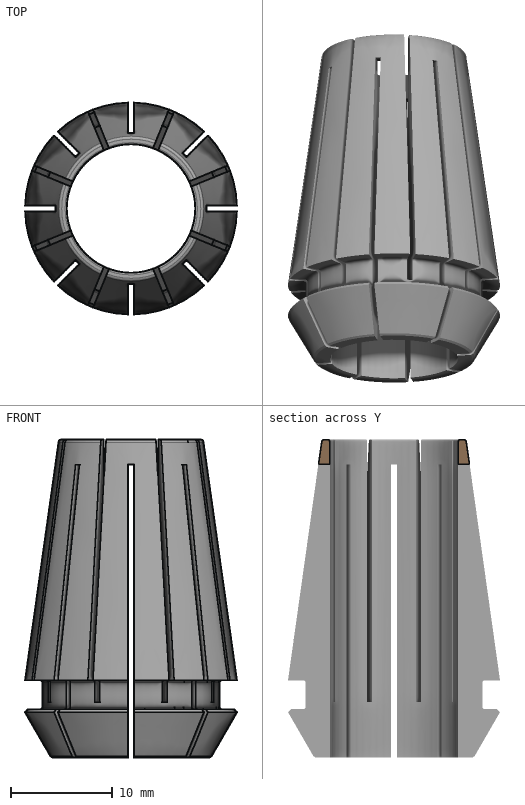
import cadquery as cq
import math

length = 31.5
max_radius = 10.5
bore_radius = 12.7 / 2

taper_angle = 8.0
taper_bottom_z = 7.65
top_radius = max_radius - (length - taper_bottom_z) * math.tan(math.radians(taper_angle))
top_edge_fillet = 0.3
bore_edge_fillet = 0.2

groove_radius = 8.77
groove_bottom_z = 4.8
groove_corner_radius = 0.2
nose_angle = 30.0
nose_rim_z = 4.5
nose_rim_slope_width = 0.3
nose_bottom_radius = max_radius - nose_rim_z * math.tan(math.radians(nose_angle))
nose_edge_chamfer = 0.15

slots_per_set = 8
slot_width = 0.55
nose_slot_top_z = 29.0
taper_slot_floor_z = 5.5
slot_pitch = 360 / slots_per_set
cut_margin = 1.0


def collet_body():
    """Revolve the half section about the Z axis and round the top edges."""
    nose_chamfer_radius = nose_bottom_radius + nose_edge_chamfer * math.tan(math.radians(nose_angle))
    rim_top_radius = max_radius - nose_rim_slope_width
    corner_offset = groove_corner_radius * (1 - math.sqrt(0.5))
    section = (
        cq.Workplane("XZ")
        .moveTo(bore_radius, 0)
        .lineTo(nose_bottom_radius - nose_edge_chamfer, 0)
        .lineTo(nose_chamfer_radius, nose_edge_chamfer)
        .lineTo(max_radius, nose_rim_z)
        .lineTo(rim_top_radius, groove_bottom_z)
        .lineTo(groove_radius + groove_corner_radius, groove_bottom_z)
        .threePointArc(
            (groove_radius + corner_offset, groove_bottom_z + corner_offset),
            (groove_radius, groove_bottom_z + groove_corner_radius),
        )
        .lineTo(groove_radius, taper_bottom_z - groove_corner_radius)
        .threePointArc(
            (groove_radius + corner_offset, taper_bottom_z - corner_offset),
            (groove_radius + groove_corner_radius, taper_bottom_z),
        )
        .lineTo(max_radius, taper_bottom_z)
        .lineTo(top_radius, length)
        .lineTo(bore_radius, length)
        .close()
    )
    body = section.revolve(360, (0, 0, 0), (0, 1, 0))
    outer_edge = body.faces(">Z").edges(cq.selectors.RadiusNthSelector(-1))
    body = outer_edge.fillet(top_edge_fillet)
    bore_edge = body.faces(">Z").edges(cq.selectors.RadiusNthSelector(0))
    return bore_edge.fillet(bore_edge_fillet)


def radial_slots(bottom_z, top_z, first_angle):
    """Ring of radial blades that cut through the wall between two heights."""
    blade_length = max_radius + cut_margin
    blade = (
        cq.Workplane("XY")
        .workplane(offset=bottom_z)
        .center(blade_length / 2, 0)
        .rect(blade_length, slot_width)
        .extrude(top_z - bottom_z)
    )
    blades = cq.Workplane("XY")
    for index in range(slots_per_set):
        angle = first_angle + index * slot_pitch
        blades = blades.add(blade.rotate((0, 0, 0), (0, 0, 1), angle))
    return blades.combine()


nose_slots = radial_slots(-cut_margin, nose_slot_top_z, 0)
taper_slots = radial_slots(taper_slot_floor_z, length + cut_margin, slot_pitch / 2)

result = collet_body().cut(nose_slots).cut(taper_slots)